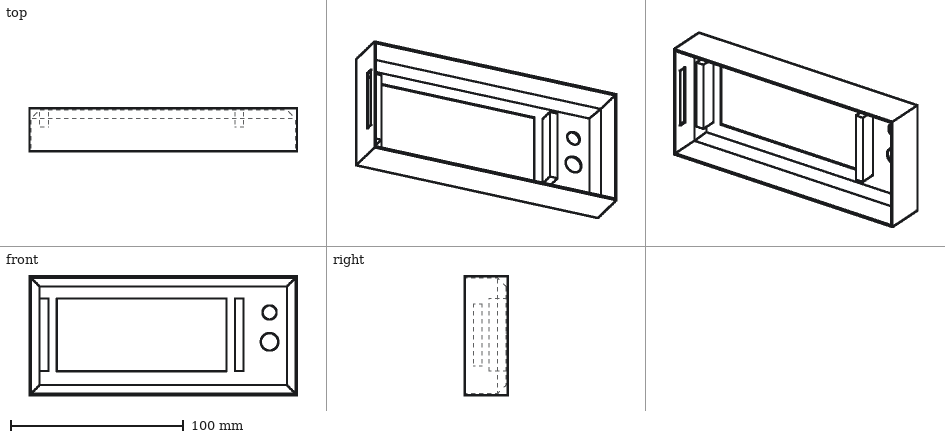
import cadquery as cq

length = 155.0
depth = 25.0
height = 69.0
wall = 1.0
face_thickness = 1.0
corner_chamfer = 5.0

window_left = 16.0
window_bottom = 14.0
window_length = 98.0
window_height = 42.0

rib_width = 5.0
rib_depth = 10.0
rib_gap = 5.0
rib_left_edges = (window_left - rib_gap - rib_width, window_left + window_length + rib_gap)

hole_x = 139.0
small_hole_diameter = 8.0
small_hole_z = 48.0
large_hole_diameter = 10.0
large_hole_z = 31.0

slot_front = 5.0
slot_width = 5.0
slot_bottom = 17.0
slot_height = 36.0

floor_y = depth - face_thickness


def block(x, y, z, size_x, size_y, size_z):
    """Box with its lowest corner at (x, y, z)."""
    return cq.Workplane("XY").box(size_x, size_y, size_z, centered=False).translate((x, y, z))


def make_shell():
    """Open box whose cavity narrows in a chamfer toward the face plate."""
    body = block(0, 0, 0, length, depth, height)
    cavity = block(wall, 0, wall, length - 2 * wall, floor_y, height - 2 * wall)
    cavity = cavity.faces(">Y").chamfer(corner_chamfer)
    return body.cut(cavity)


def make_rib(left_edge):
    """Upright rib standing on the face plate and merged into it."""
    return block(left_edge, floor_y - rib_depth, window_bottom,
                 rib_width, rib_depth + face_thickness, window_height)


def make_face_hole(z, diameter):
    """Cutter for a round hole through the face plate."""
    cutter = cq.Workplane("XZ").center(hole_x, z).circle(diameter / 2).extrude(-face_thickness)
    return cutter.translate((0, floor_y, 0))


result = make_shell()

for rib_left in rib_left_edges:
    result = result.union(make_rib(rib_left))

result = result.cut(block(window_left, floor_y, window_bottom,
                          window_length, face_thickness, window_height))

for hole_z, hole_diameter in ((small_hole_z, small_hole_diameter), (large_hole_z, large_hole_diameter)):
    result = result.cut(make_face_hole(hole_z, hole_diameter))

result = result.cut(block(0, slot_front, slot_bottom, wall, slot_width, slot_height))